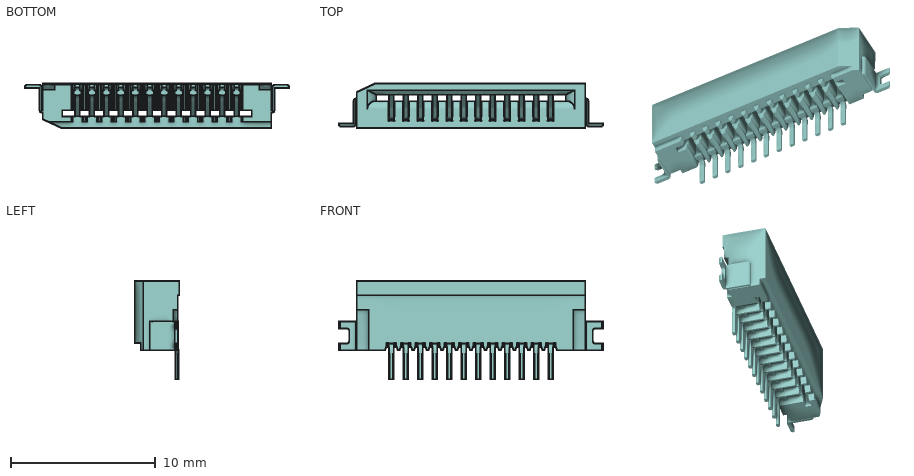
import cadquery as cq
import math


HOUSING_WIDTH = 15.81
HOUSING_DEPTH = 3.1
HOUSING_HEIGHT = 4.8
FRONT_BAND_HEIGHT = 1.0
FRONT_RECESS = 0.11
BACK_STEP_DEPTH = 0.42
BACK_STEP_HEIGHT = 0.5
KEY_CHAMFER_X = 1.3
KEY_CHAMFER_Y = 0.6
CORNER_NOTCH_WIDTH = 0.82
CORNER_NOTCH_BACK = 0.44
CORNER_NOTCH_HEIGHT = 2.82

MOUTH_WIDTH = 14.31
MOUTH_BACK = 2.62
MOUTH_DEPTH = 0.55
THROAT_WIDTH = 13.07
THROAT_FRONT = 1.87
THROAT_BACK = 2.29
LIP_WIDTH = 0.55
LIP_DEPTH = 0.38

CONTACT_COUNT = 12
CONTACT_PITCH = 1.0
CONTACT_WIDTH = 0.35
CONTACT_THICKNESS = 0.22
CONTACT_SLOT_WIDTH = 0.42
CONTACT_SLOT_FRONT = 0.5
LEG_FRONT = 0.6
ARCH_RADIUS = 0.45
ARCH_TOP = 3.85
BEAM_ANGLE = 62
BASE_WIDTH = 0.53
PIN_FRONT = 0.05
PIN_LENGTH = 2.01
ELBOW_RADIUS = 0.44
ELBOW_TOP = 0.44
PIN_CHAMFER_X = 0.07
PIN_CHAMFER_Y = 0.05
PIN_CHAMFER_TOP = -0.25

NOTCH_HEIGHT = 0.5
NOTCH_STRAIGHT_BOTTOM = 0.3
NOTCH_TOP_WIDTH = 0.65
NOTCH_MOUTH_WIDTH = 0.88

TAB_SPAN = 18.3
TAB_HEIGHT = 2.0
TAB_PLATE_THICKNESS = 0.16
TAB_FOOT_THICKNESS = 0.24
TAB_GAP = 0.05
TAB_FRONT = 0.1
TAB_BACK = 2.05
TAB_FOOT_BEND_RADIUS = 0.22
TAB_TIP_CHAMFER = 0.13
TAB_SLOT_DEPTH = 0.73
TAB_SLOT_BOTTOM = 0.48
TAB_SLOT_TOP = 1.5
TAB_SLOT_RADIUS = 0.18

contact_positions = [
    (i - (CONTACT_COUNT - 1) / 2) * CONTACT_PITCH for i in range(CONTACT_COUNT)
]


def box(x_min, x_max, y_min, y_max, z_min, z_max):
    """Box between two opposite corners."""
    size = (x_max - x_min, y_max - y_min, z_max - z_min)
    return cq.Workplane("XY").box(*size, centered=False).translate((x_min, y_min, z_min))


def side_extrude(outline, width):
    """Extrude an outline drawn in the YZ plane equally to both sides of X = 0."""
    return outline.close().extrude(width / 2, both=True)


def housing_block():
    """Outer body with its front rim, back step, keyed corner and two front corner notches."""
    half = HOUSING_WIDTH / 2
    profile = cq.Workplane("YZ").polyline([
        (FRONT_RECESS, 0),
        (HOUSING_DEPTH - BACK_STEP_DEPTH, 0),
        (HOUSING_DEPTH - BACK_STEP_DEPTH, BACK_STEP_HEIGHT),
        (HOUSING_DEPTH, BACK_STEP_HEIGHT),
        (HOUSING_DEPTH, HOUSING_HEIGHT),
        (0, HOUSING_HEIGHT),
        (0, HOUSING_HEIGHT - FRONT_BAND_HEIGHT),
        (FRONT_RECESS, HOUSING_HEIGHT - FRONT_BAND_HEIGHT),
    ])
    body = side_extrude(profile, HOUSING_WIDTH)
    key_corner = (
        cq.Workplane("XY")
        .polyline([
            (-half, HOUSING_DEPTH),
            (-half, HOUSING_DEPTH - KEY_CHAMFER_Y),
            (-half + KEY_CHAMFER_X, HOUSING_DEPTH),
        ])
        .close()
        .extrude(HOUSING_HEIGHT)
    )
    left_notch = box(
        -half, -half + CORNER_NOTCH_WIDTH, 0, CORNER_NOTCH_BACK, 0, CORNER_NOTCH_HEIGHT
    )
    return body.cut(key_corner).cut(left_notch).cut(left_notch.mirror("YZ"))


def mouth():
    """Funnel with a rounded front lip, sloping back and ends, and the throat below it."""
    funnel_bottom = HOUSING_HEIGHT - MOUTH_DEPTH
    lip_radius = (LIP_WIDTH**2 + LIP_DEPTH**2) / (2 * LIP_DEPTH)
    lip_start = THROAT_FRONT - LIP_WIDTH
    lip_half_angle = math.asin(LIP_WIDTH / lip_radius) / 2
    profile = (
        cq.Workplane("YZ")
        .moveTo(lip_start, HOUSING_HEIGHT)
        .threePointArc(
            (
                lip_start + lip_radius * math.sin(lip_half_angle),
                HOUSING_HEIGHT - lip_radius * (1 - math.cos(lip_half_angle)),
            ),
            (THROAT_FRONT, HOUSING_HEIGHT - LIP_DEPTH),
        )
        .lineTo(THROAT_FRONT, funnel_bottom)
        .lineTo(THROAT_BACK, funnel_bottom)
        .lineTo(MOUTH_BACK, HOUSING_HEIGHT)
    )
    end_slopes = (
        cq.Workplane("XZ")
        .polyline([
            (-MOUTH_WIDTH / 2, HOUSING_HEIGHT),
            (-THROAT_WIDTH / 2, funnel_bottom),
            (THROAT_WIDTH / 2, funnel_bottom),
            (MOUTH_WIDTH / 2, HOUSING_HEIGHT),
        ])
        .close()
        .extrude(-HOUSING_DEPTH)
    )
    funnel = side_extrude(profile, MOUTH_WIDTH).intersect(end_slopes)
    throat = box(
        -THROAT_WIDTH / 2, THROAT_WIDTH / 2, THROAT_FRONT, THROAT_BACK, 0, funnel_bottom
    )
    return funnel.union(throat)


def contact_cavity():
    """Slot for one contact, with the front-to-back notch that lets its pin out."""
    slot = box(
        -CONTACT_SLOT_WIDTH / 2, CONTACT_SLOT_WIDTH / 2,
        CONTACT_SLOT_FRONT, THROAT_FRONT, 0, HOUSING_HEIGHT,
    )
    notch = (
        cq.Workplane("XZ")
        .polyline([
            (-NOTCH_MOUTH_WIDTH / 2, 0),
            (-NOTCH_TOP_WIDTH / 2, NOTCH_STRAIGHT_BOTTOM),
            (-NOTCH_TOP_WIDTH / 2, NOTCH_HEIGHT),
            (NOTCH_TOP_WIDTH / 2, NOTCH_HEIGHT),
            (NOTCH_TOP_WIDTH / 2, NOTCH_STRAIGHT_BOTTOM),
            (NOTCH_MOUTH_WIDTH / 2, 0),
        ])
        .close()
        .extrude(-HOUSING_DEPTH)
    )
    return slot.union(notch)


def contact_spring():
    """Upright leg that arches over and slopes down to the back wall of the throat."""
    slope = math.radians(BEAM_ANGLE)
    arch_y = LEG_FRONT + ARCH_RADIUS
    arch_z = ARCH_TOP - ARCH_RADIUS
    inner_radius = ARCH_RADIUS - CONTACT_THICKNESS

    def on_arch(radius, angle):
        """Point on the arch, at an angle from the vertical toward the back."""
        return arch_y + radius * math.sin(angle), arch_z + radius * math.cos(angle)

    def beam_end(radius):
        """Point where the sloping line tangent to the arch meets the throat's back wall."""
        y, z = on_arch(radius, slope)
        return THROAT_BACK, z - (THROAT_BACK - y) * math.tan(slope)

    leg_bottom = ELBOW_TOP - CONTACT_THICKNESS
    outline = (
        cq.Workplane("YZ")
        .moveTo(LEG_FRONT, leg_bottom)
        .lineTo(LEG_FRONT, arch_z)
        .threePointArc(on_arch(ARCH_RADIUS, 0), on_arch(ARCH_RADIUS, slope))
        .lineTo(*beam_end(ARCH_RADIUS))
        .lineTo(*beam_end(inner_radius))
        .lineTo(*on_arch(inner_radius, slope))
        .threePointArc(on_arch(inner_radius, 0), (LEG_FRONT + CONTACT_THICKNESS, arch_z))
        .lineTo(LEG_FRONT + CONTACT_THICKNESS, leg_bottom)
    )
    return side_extrude(outline, CONTACT_WIDTH)


def contact_pin():
    """Wide base under the notch ceiling, rounded elbow and pin with bevelled front edges."""
    elbow_y = PIN_FRONT + ELBOW_RADIUS
    elbow_z = ELBOW_TOP - ELBOW_RADIUS
    inner_radius = ELBOW_RADIUS - CONTACT_THICKNESS
    pin_back = PIN_FRONT + CONTACT_THICKNESS
    base_bottom = ELBOW_TOP - CONTACT_THICKNESS
    diagonal = math.sqrt(0.5)
    outline = (
        cq.Workplane("YZ")
        .moveTo(elbow_y, ELBOW_TOP)
        .threePointArc(
            (elbow_y - ELBOW_RADIUS * diagonal, elbow_z + ELBOW_RADIUS * diagonal),
            (PIN_FRONT, elbow_z),
        )
        .lineTo(PIN_FRONT, -PIN_LENGTH)
        .lineTo(pin_back, -PIN_LENGTH)
        .lineTo(pin_back, elbow_z)
        .threePointArc(
            (elbow_y - inner_radius * diagonal, elbow_z + inner_radius * diagonal),
            (elbow_y, base_bottom),
        )
    )
    pin = side_extrude(outline, CONTACT_WIDTH)
    bevel = (
        cq.Workplane("XY", origin=(0, 0, -PIN_LENGTH))
        .polyline([
            (-CONTACT_WIDTH / 2, PIN_FRONT),
            (-CONTACT_WIDTH / 2 + PIN_CHAMFER_X, PIN_FRONT),
            (-CONTACT_WIDTH / 2, PIN_FRONT + PIN_CHAMFER_Y),
        ])
        .close()
        .extrude(PIN_LENGTH + PIN_CHAMFER_TOP)
    )
    base = box(
        -BASE_WIDTH / 2, BASE_WIDTH / 2,
        elbow_y, LEG_FRONT + CONTACT_THICKNESS, base_bottom, NOTCH_HEIGHT,
    )
    return pin.cut(bevel).cut(bevel.mirror("YZ")).union(base)


def left_tab():
    """Strip that leaves the left wall, runs forward beside it and turns out as a slotted foot."""
    wall = -HOUSING_WIDTH / 2
    tip = -TAB_SPAN / 2
    plate_inner = wall - TAB_GAP
    plate_outer = plate_inner - TAB_PLATE_THICKNESS
    foot_back = TAB_FRONT + TAB_FOOT_THICKNESS
    back_bend_radius = wall - plate_outer
    back_bend_shift = back_bend_radius * (1 - math.sqrt(0.5))
    foot_bend_shift = TAB_FOOT_BEND_RADIUS * (1 - math.sqrt(0.5))
    strip = (
        cq.Workplane("XY")
        .moveTo(wall, TAB_BACK)
        .threePointArc(
            (plate_outer + back_bend_shift, TAB_BACK - back_bend_shift),
            (plate_outer, TAB_BACK - back_bend_radius),
        )
        .lineTo(plate_outer, foot_back)
        .lineTo(tip, foot_back)
        .lineTo(tip, TAB_FRONT + TAB_TIP_CHAMFER)
        .lineTo(tip + TAB_TIP_CHAMFER, TAB_FRONT)
        .lineTo(plate_inner - TAB_FOOT_BEND_RADIUS, TAB_FRONT)
        .threePointArc(
            (plate_inner - foot_bend_shift, TAB_FRONT + foot_bend_shift),
            (plate_inner, TAB_FRONT + TAB_FOOT_BEND_RADIUS),
        )
        .lineTo(plate_inner, TAB_BACK - TAB_PLATE_THICKNESS)
        .lineTo(wall, TAB_BACK - TAB_PLATE_THICKNESS)
        .close()
        .extrude(TAB_HEIGHT)
    )
    slot = (
        box(tip, tip + TAB_SLOT_DEPTH, 0, foot_back, TAB_SLOT_BOTTOM, TAB_SLOT_TOP)
        .edges("|Y and >X")
        .fillet(TAB_SLOT_RADIUS)
    )
    return strip.cut(slot)


housing = housing_block().cut(mouth())
cavity = contact_cavity()
for x in contact_positions:
    housing = housing.cut(cavity.translate((x, 0, 0)))

contact = contact_spring().union(contact_pin())
result = housing.union(left_tab()).union(left_tab().mirror("YZ"))
for x in contact_positions:
    result = result.union(contact.translate((x, 0, 0)))